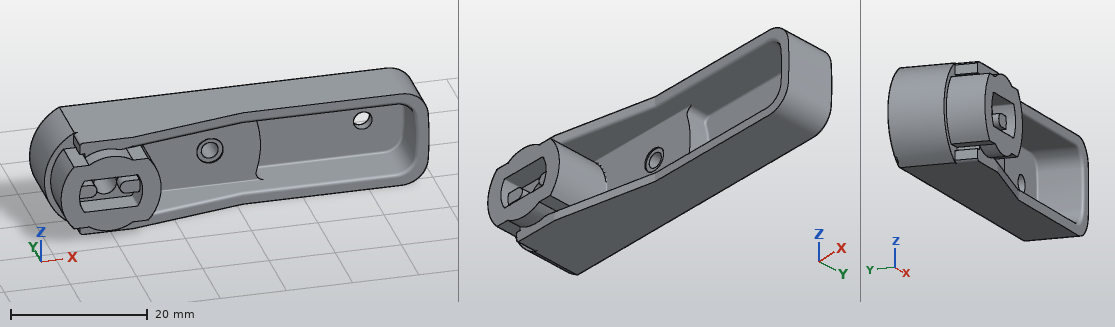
import cadquery as cq
import math


length = 58.1
width = 15.0
half_width = width / 2
nose_radius = 8.5
tip_x = length - nose_radius
tip_arc_rise = 0.45
tip_corner_radius = 4.05
back_edge_radius = 0.4

rim_height = 8.95
cheek_height = 12.5
hub_height = 15.0
recess_floor = 1.55
raised_floor = 5.35

cheek_start_x = -4.05
cheek_flat_end_x = 4.0
slope_end_x = 21.5
cheek_round_length = 0.6
cheek_round_drop = 0.35
relief_end_x = -3.3

wall = 1.8
cavity_half_width = half_width - wall
cavity_tip_rise = 0.7
cavity_corner_radius = 2.9
floor_fillet = 0.35
raised_floor_fillet = 0.2
floor_layer = 0.6
mouth_radius = 0.5
step_corner_x = 23.95
step_middle_x = 25.1
step_corner_radius = 1.15

hub_radius = 7.55
hub_half_width = 5.05
bulge_radius = 6.05
socket_radius = 4.75
socket_half_width = 2.55
socket_corner_radius = 0.3
socket_depth = 3.5
key_depth = 1.45
key_half_width = 1.0
key_inner_x = 1.75
hub_bore_radius = 1.75

pin_x = 17.5
pin_radius = 1.3
pin_recess_radius = 2.0
pin_recess_depth = 0.25
tip_hole_x = 41.55
tip_hole_radius = 1.4


def plane_at(height):
    """Sketch plane facing -Y at a height above the back face, with X and Z as its axes."""
    return cq.Workplane("XZ", origin=(0, -height, 0))


def disc(radius, bottom, top, x=0.0):
    return plane_at(bottom).center(x, 0).circle(radius).extrude(top - bottom)


def block(x_start, x_end, half_z, bottom, top):
    """Box symmetric about Z = 0."""
    middle = (x_start + x_end) / 2
    return plane_at(bottom).center(middle, 0).rect(x_end - x_start, 2 * half_z).extrude(top - bottom)


def arm_solid(inset, tip_rise, corner_radius, bottom, top):
    """Arm outline moved inwards by an inset, with a rounded nose and a slightly bowed tip."""
    half_z = half_width - inset
    radius = nose_radius - inset
    nose_x = -math.sqrt(radius**2 - half_z**2)
    end_x = tip_x - inset
    corner_x = end_x - tip_rise
    outline = (
        plane_at(bottom)
        .moveTo(nose_x, half_z)
        .lineTo(corner_x, half_z)
        .threePointArc((end_x, 0), (corner_x, -half_z))
        .lineTo(nose_x, -half_z)
        .threePointArc((-radius, 0), (nose_x, half_z))
        .close()
    )
    solid = outline.extrude(top - bottom)
    return solid.edges("|Y and (>X or >>X[-2])").fillet(corner_radius)


def cheek_outline():
    """Plan of the cheeks, with the outer corners at the nose end rounded."""
    round_end_x = cheek_start_x + cheek_round_length
    round_radius = (cheek_round_length**2 + cheek_round_drop**2) / (2 * cheek_round_drop)
    low_z = half_width - cheek_round_drop
    mid_x = cheek_start_x + cheek_round_length / 2
    mid_z = half_width - round_radius + math.sqrt(round_radius**2 - (cheek_round_length / 2) ** 2)
    return (
        plane_at(rim_height)
        .moveTo(cheek_start_x, -low_z)
        .lineTo(cheek_start_x, low_z)
        .threePointArc((mid_x, mid_z), (round_end_x, half_width))
        .lineTo(slope_end_x, half_width)
        .lineTo(slope_end_x, -half_width)
        .lineTo(round_end_x, -half_width)
        .threePointArc((mid_x, -mid_z), (cheek_start_x, -low_z))
        .close()
        .extrude(cheek_height - rim_height)
    )


def cheeks():
    side_profile = (
        cq.Workplane("XY")
        .moveTo(cheek_start_x, -rim_height)
        .lineTo(cheek_start_x, -cheek_height)
        .lineTo(cheek_flat_end_x, -cheek_height)
        .lineTo(slope_end_x, -rim_height)
        .close()
        .extrude(half_width, both=True)
    )
    return cheek_outline().intersect(side_profile)


def cavity_plan(bottom, top):
    return arm_solid(wall, cavity_tip_rise, cavity_corner_radius, bottom, top)


def cavity():
    """Space between the walls from the hub axis to the tip, open at the mouth."""
    right_of_hub_axis = block(0, tip_x, half_width, 0, hub_height)
    return cavity_plan(raised_floor + floor_layer, hub_height).intersect(right_of_hub_axis)


def cavity_floor():
    """Lowest layer of the cavity, rounded where the raised floor meets the walls and the hub."""
    top = raised_floor + floor_layer
    right_of_hub = block(0, tip_x, half_width, 0, top).cut(hub())
    layer = cavity_plan(raised_floor, top).intersect(right_of_hub)
    return layer.faces(">Y").edges().fillet(raised_floor_fillet)


def tip_recess():
    """Deeper end of the cavity; its hub-side wall bows towards the tip."""
    top = raised_floor + floor_layer
    bowed_wall = (
        plane_at(recess_floor)
        .moveTo(step_corner_x, cavity_half_width)
        .threePointArc((step_middle_x, 0), (step_corner_x, -cavity_half_width))
        .lineTo(tip_x, -cavity_half_width)
        .lineTo(tip_x, cavity_half_width)
        .close()
        .extrude(top - recess_floor)
        .edges("|Y and <X")
        .fillet(step_corner_radius)
    )
    recess = cavity_plan(recess_floor, top).intersect(bowed_wall)
    return recess.faces(">Y").edges().fillet(floor_fillet)


def hub():
    wide = disc(hub_radius, recess_floor, hub_height)
    wide = wide.intersect(block(-hub_radius, hub_radius, hub_half_width, recess_floor, hub_height))
    return wide.union(disc(bulge_radius, recess_floor, hub_height))


def socket():
    """Flat-sided pocket in the hub, leaving two round-ended keys on its floor."""
    floor = hub_height - socket_depth
    key_top = hub_height - key_depth
    pocket = disc(socket_radius, floor, hub_height)
    pocket = pocket.intersect(block(-socket_radius, socket_radius, socket_half_width, floor, hub_height))
    pocket = pocket.edges("|Y").fillet(socket_corner_radius)
    key_round_x = key_inner_x + key_half_width
    for side in (-1, 1):
        key = block(key_round_x, hub_radius, key_half_width, floor, key_top)
        key = key.union(disc(key_half_width, floor, key_top, key_round_x))
        if side < 0:
            key = key.mirror("YZ")
        pocket = pocket.cut(key)
    return pocket


body = arm_solid(0, tip_arc_rise, tip_corner_radius, 0, rim_height).faces(">Y").edges().fillet(back_edge_radius)
body = body.union(cheeks())
body = body.cut(cavity())

mouth_edges = cq.selectors.BoxSelector(
    (cheek_flat_end_x, -cheek_height, -cavity_half_width - 0.05),
    (tip_x - wall + 0.05, -rim_height + 0.05, cavity_half_width + 0.05),
)
body = body.edges(mouth_edges).fillet(mouth_radius)

body = body.cut(block(cheek_start_x, relief_end_x, cavity_half_width, rim_height, cheek_height))
body = body.union(hub())
body = body.cut(cavity_floor())
body = body.cut(tip_recess())
body = body.cut(socket())

body = body.cut(disc(hub_bore_radius, 0, hub_height))
body = body.cut(disc(pin_radius, 0, raised_floor, pin_x))
body = body.cut(disc(pin_recess_radius, raised_floor - pin_recess_depth, raised_floor, pin_x))
body = body.cut(disc(tip_hole_radius, 0, recess_floor, tip_hole_x))

result = body